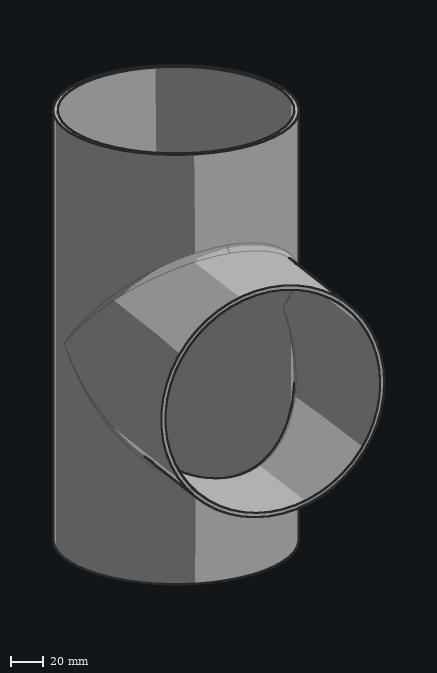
import cadquery as cq

run_length = 285.8
outer_diameter = 152.3
wall = 3.0
branch_reach = 143.0
outer_fillet = 4.0

outer_radius = outer_diameter / 2
inner_radius = outer_radius - wall
inner_fillet = outer_fillet + wall


def tee_body(radius, fillet):
    """Solid tee of the given radius, with the crease between its legs rounded."""
    run = cq.Workplane("XY").circle(radius).extrude(run_length / 2, both=True)
    branch = cq.Workplane("YZ").circle(radius).extrude(branch_reach)
    body = run.union(branch)
    rounded = body.edges("%ELLIPSE").edges(">Z").fillet(fillet)
    half_space = cq.Workplane("XY").rect(2 * run_length, 2 * run_length).extrude(run_length)
    upper_half = rounded.intersect(half_space)
    return upper_half.union(upper_half.mirror("XY"))


result = tee_body(outer_radius, outer_fillet).cut(tee_body(inner_radius, inner_fillet))